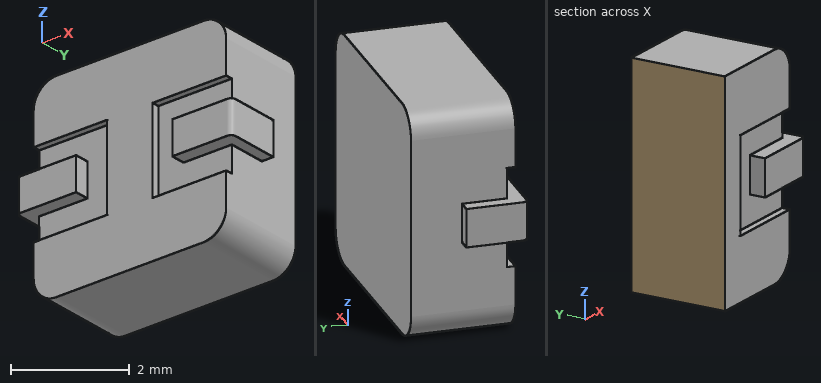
import cadquery as cq

total_length = 4.7
total_depth = 2.0
body_side = 4.2
body_depth = 1.85
corner_radius = 0.5

recess_length = 1.605
recess_height = 1.8
recess_depth = 0.15

terminal_width = 0.7
foot_length = 1.3
leg_length = 1.1
bend_radius = 0.1

body_half = body_side / 2
foot_y = body_depth - total_depth
leg_thickness = (total_length - body_side) / 2


def box_between(x_range, y_range, height):
    """Box spanning the X and Y ranges, centred on Z = 0."""
    return (
        cq.Workplane("XY")
        .box(x_range[1] - x_range[0], y_range[1] - y_range[0], height, centered=(False, False, True))
        .translate((x_range[0], y_range[0], 0))
    )


def make_body():
    """Square block with rounded corners along Y."""
    block = box_between((-body_half, body_half), (0, body_depth), body_side)
    return block.edges("|Y").fillet(corner_radius)


def make_recess():
    """Shallow pocket opening through the -X side of the body."""
    return box_between((-body_half, -body_half + recess_length), (0, recess_depth), recess_height)


def make_terminal():
    """Terminal on the -X side: leg against the body, foot seated on the recess floor."""
    outer_x = -total_length / 2
    leg = box_between((outer_x, outer_x + leg_thickness), (foot_y, foot_y + leg_length), terminal_width)
    foot = box_between((outer_x, outer_x + foot_length), (foot_y, recess_depth), terminal_width)
    return leg.union(foot).faces("<X").edges("|Z and <Y").fillet(bend_radius)


recess = make_recess()
terminal = make_terminal()

result = make_body().cut(recess).cut(recess.mirror("YZ"))
result = result.union(terminal).union(terminal.mirror("YZ"))